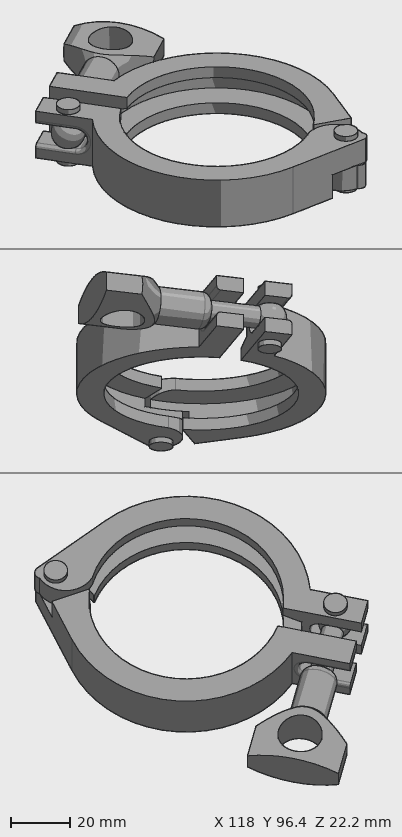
import cadquery as cq
import math

RING_RADIUS = 42.2
BORE_RADIUS = 33.0
HEIGHT = 18.4
HALF_HEIGHT = HEIGHT / 2

GROOVE_RADIUS = 39.4
GROOVE_MOUTH = 9.9
GROOVE_FLOOR = 5.9

ARM_END_X = -60.0
ARM_INNER_Y = 3.8
ARM_OUTER_Y = 13.3
SLOT_WIDTH = 8.0
SLOT_END_CENTER_X = -46.0
SLOT_FILLET = 1.4

HINGE_X = 45.3
KNUCKLE_X = 42.7
KNUCKLE_RADIUS = 10.2
FLANK_ANGLE = math.radians(36.6)
TIP_RADIUS = 2.5
TIP_END_X = 52.4
RELIEF_INNER = (32.6, -3.4)
RELIEF_OUTER = (43.6, -11.2)
REACH = 70.8

PIN_DIAMETER = 8.0
PIN_PROJECTION = 1.9
PIN_LENGTH = HEIGHT + 2 * PIN_PROJECTION

BOLT_X = -49.8
BOLT_PIN_Y = -8.6
BALL_RADIUS = 5.8
SHANK_DIAMETER = 7.7
BOLT_END_Y = 31.9

SLEEVE_RADIUS = 6.4
SLEEVE_TOP_Y = 31.9
NOSE_TOP_Y = 16.3
NOSE_ROUND = 3.3
WING_SHOULDER_Y = 41.3
WING_TOP_Y = 54.2
WING_HALF_WIDTH = 15.8
WING_HALF_THICKNESS = 7.1
WING_EDGE_HALF_THICKNESS = 3.3
CROSS_HOLE_DIAMETER = 15.0
CROSS_HOLE_Y = 43.6


def upright_cylinder(x, y, radius, bottom, height):
    return cq.Workplane("XY", origin=(x, y, bottom)).circle(radius).extrude(height)


def upright_prism(points, bottom, height):
    return cq.Workplane("XY").workplane(offset=bottom).polyline(points).close().extrude(height)


def flank_point(y):
    """Point of the flank, the line tangent to the ring, at height y."""
    return ((RING_RADIUS + y * math.sin(FLANK_ANGLE)) / math.cos(FLANK_ANGLE), y)


def half_ring():
    """Lower half of the ring disc with its closing arm and the straight flank towards the hinge."""
    disc = upright_cylinder(0, 0, RING_RADIUS, -HALF_HEIGHT, HEIGHT)
    below_gap = upright_prism(
        [(-REACH, -ARM_INNER_Y), (REACH, -ARM_INNER_Y), (REACH, -REACH), (-REACH, -REACH)],
        -HALF_HEIGHT, HEIGHT,
    )
    tangent_point = (RING_RADIUS * math.cos(FLANK_ANGLE), -RING_RADIUS * math.sin(FLANK_ANGLE))
    flank = upright_prism([(0, -ARM_INNER_Y), flank_point(-ARM_INNER_Y), tangent_point], -HALF_HEIGHT, HEIGHT)
    arm = upright_prism(
        [(ARM_END_X, -ARM_INNER_Y), (0, -ARM_INNER_Y), (0, -ARM_OUTER_Y), (ARM_END_X, -ARM_OUTER_Y)],
        -HALF_HEIGHT, HEIGHT,
    )
    return disc.intersect(below_gap).union(flank).union(arm)


def knuckle():
    """Upper-level hinge eye: a disc trimmed by the flank, with a small round tip."""
    eye = upright_cylinder(KNUCKLE_X, -ARM_INNER_Y, KNUCKLE_RADIUS, 0, HALF_HEIGHT)
    inside_flank = upright_prism(
        [(0, -REACH / 2), flank_point(-REACH / 2), flank_point(REACH), (0, REACH)], 0, HALF_HEIGHT
    )
    tip_x = TIP_END_X - TIP_RADIUS
    tip_y = (tip_x * math.cos(FLANK_ANGLE) + TIP_RADIUS - RING_RADIUS) / math.sin(FLANK_ANGLE)
    tip = upright_cylinder(tip_x, tip_y, TIP_RADIUS, 0, HALF_HEIGHT)
    return eye.intersect(inside_flank).union(tip)


def knuckle_relief():
    """Lower-level space that clears the mating half's knuckle."""
    slope = (RELIEF_OUTER[1] - RELIEF_INNER[1]) / (RELIEF_OUTER[0] - RELIEF_INNER[0])
    far_y = RELIEF_INNER[1] + slope * (REACH - RELIEF_INNER[0])
    start_y = RELIEF_INNER[1] - slope * RELIEF_INNER[0]
    return upright_prism([(0, start_y), (REACH, far_y), (REACH, start_y)], -HALF_HEIGHT, HALF_HEIGHT)


def bore_and_groove():
    profile = [
        (0, -HALF_HEIGHT),
        (BORE_RADIUS, -HALF_HEIGHT),
        (BORE_RADIUS, -GROOVE_MOUTH / 2),
        (GROOVE_RADIUS, -GROOVE_FLOOR / 2),
        (GROOVE_RADIUS, GROOVE_FLOOR / 2),
        (BORE_RADIUS, GROOVE_MOUTH / 2),
        (BORE_RADIUS, HALF_HEIGHT),
        (0, HALF_HEIGHT),
    ]
    return cq.Workplane("XZ").polyline(profile).close().revolve(360, (0, 0), (0, 1))


def arm_slot(half_width, start_y, end_y):
    """Round-ended slot through the arm, open at the arm's free end."""
    return (
        cq.Workplane("XZ", origin=(0, start_y, 0))
        .moveTo(-REACH, half_width)
        .lineTo(SLOT_END_CENTER_X, half_width)
        .threePointArc((SLOT_END_CENTER_X + half_width, 0), (SLOT_END_CENTER_X, -half_width))
        .lineTo(-REACH, -half_width)
        .close()
        .extrude(start_y - end_y)
    )


def clamp_half():
    """Half on the -Y side; the other half is this one turned about the X axis."""
    half = half_ring().cut(knuckle_relief()).union(knuckle())
    half = half.cut(bore_and_groove())
    half = half.cut(upright_cylinder(HINGE_X, 0, PIN_DIAMETER / 2, -HALF_HEIGHT, HEIGHT))
    half = half.cut(arm_slot(SLOT_WIDTH / 2, -ARM_INNER_Y, -ARM_OUTER_Y))
    near_edge = SLOT_WIDTH / 2 + SLOT_FILLET / 2
    slot_rim = cq.selectors.BoxSelector(
        (ARM_END_X - 1.2, -ARM_OUTER_Y - SLOT_FILLET / 2, -near_edge),
        (SLOT_END_CENTER_X + near_edge, -ARM_OUTER_Y + SLOT_FILLET / 2, near_edge),
    )
    return half.edges(slot_rim).fillet(SLOT_FILLET)


def ball():
    return cq.Workplane("XY", origin=(BOLT_X, BOLT_PIN_Y, 0)).sphere(BALL_RADIUS)


def bolt_pin_hole():
    return upright_cylinder(BOLT_X, BOLT_PIN_Y, PIN_DIAMETER / 2, -HALF_HEIGHT, HEIGHT)


def shank(start_y):
    return (
        cq.Workplane("XZ", origin=(BOLT_X, start_y, 0))
        .circle(SHANK_DIAMETER / 2)
        .extrude(start_y - BOLT_END_Y)
    )


def lower_half():
    """Half that carries the swing bolt, with a seat for the ball in its arm."""
    return clamp_half().cut(ball()).cut(bolt_pin_hole())


def upper_half():
    return clamp_half().rotate((0, 0, 0), (1, 0, 0), 180)


def pin(x, y):
    return upright_cylinder(x, y, PIN_DIAMETER / 2, -PIN_LENGTH / 2, PIN_LENGTH)


def swing_bolt():
    return ball().union(shank(BOLT_PIN_Y)).cut(bolt_pin_hole())


def nut_envelope():
    """Turned shape around the bolt: rounded nose, sleeve and cone under the wings."""
    nose_center = SLEEVE_RADIUS - NOSE_ROUND
    mid = NOSE_ROUND * math.sqrt(0.5)
    cone_slope = (WING_SHOULDER_Y - SLEEVE_TOP_Y) / (WING_HALF_WIDTH - SLEEVE_RADIUS)
    rim_radius = math.hypot(WING_HALF_WIDTH, WING_HALF_THICKNESS)
    rim_y = SLEEVE_TOP_Y + cone_slope * (rim_radius - SLEEVE_RADIUS)
    return (
        cq.Workplane("XY", origin=(BOLT_X, 0, 0))
        .moveTo(0, NOSE_TOP_Y - NOSE_ROUND)
        .lineTo(nose_center, NOSE_TOP_Y - NOSE_ROUND)
        .threePointArc((nose_center + mid, NOSE_TOP_Y - mid), (SLEEVE_RADIUS, NOSE_TOP_Y))
        .lineTo(SLEEVE_RADIUS, SLEEVE_TOP_Y)
        .lineTo(rim_radius, rim_y)
        .lineTo(rim_radius, WING_TOP_Y)
        .lineTo(0, WING_TOP_Y)
        .close()
        .revolve(360, (0, 0), (0, 1))
    )


def wing_section():
    """Bar along Y with arched top and bottom, as wide as the wings."""
    return (
        cq.Workplane("XZ", origin=(BOLT_X, 0, 0))
        .moveTo(-WING_HALF_WIDTH, WING_EDGE_HALF_THICKNESS)
        .threePointArc((0, WING_HALF_THICKNESS), (WING_HALF_WIDTH, WING_EDGE_HALF_THICKNESS))
        .lineTo(WING_HALF_WIDTH, -WING_EDGE_HALF_THICKNESS)
        .threePointArc((0, -WING_HALF_THICKNESS), (-WING_HALF_WIDTH, -WING_EDGE_HALF_THICKNESS))
        .close()
        .extrude(-WING_TOP_Y)
    )


def wing_nut():
    nut = nut_envelope().intersect(wing_section())
    cross_hole = upright_cylinder(BOLT_X, CROSS_HOLE_Y, CROSS_HOLE_DIAMETER / 2, -HALF_HEIGHT, HEIGHT)
    return nut.cut(cross_hole).cut(shank(0))


pins = [pin(x, y) for x, y in [(HINGE_X, 0), (BOLT_X, BOLT_PIN_Y)]]

result = cq.Compound.makeCompound([
    lower_half().solids().val(),
    upper_half().solids().val(),
    *[each.val() for each in pins],
    swing_bolt().solids().val(),
    wing_nut().solids().val(),
])